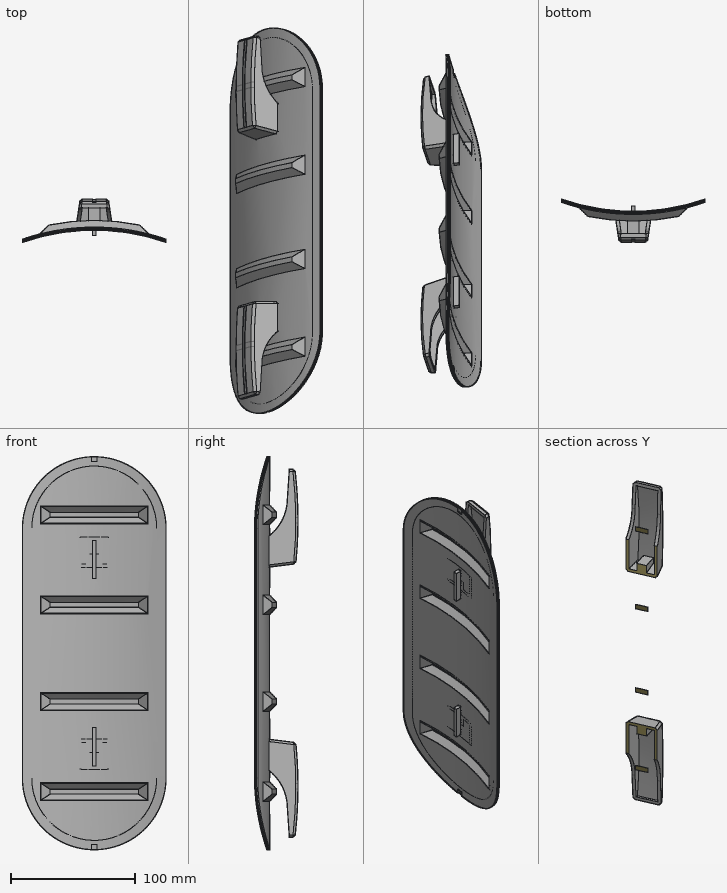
import cadquery as cq
import math

total_depth = 35.0

plate_length = 315.0
plate_width = 115.3
plate_thickness = 2.5
front_sheet_thickness = 0.8
seal_thickness = 0.8
seal_width = 7.5
plate_edge_y = -total_depth / 2
plate_crown_y = -7.5
notch_width = 4.7
notch_height = 4.0

inner_rib_z = 38.7
outer_rib_z = 111.0
rib_height = 5.5
rib_root = 0.5
pocket_length = 85.0
pocket_floor_length = 70.5
pocket_width = 13.2
pocket_floor_width = 3.8
bump_length = 87.5
bump_top_length = 72.5
bump_width = 15.8
bump_top_width = 4.0

fin_center_z = 75.0
fin_length = 30.5
fin_width = 2.8
fin_front_y = -12.0

tip_z = 147.5
tip_front_y = 10.5
tip_back_y = 15.0
back_apex_y = total_depth / 2
back_apex_z = 108.7
heel_y = 15.8
heel_z = 71.5
foot_z = 68.5
throat_y = 8.8
throat_z = 123.8
throat_radius = 37.8
back_half_width = 11.3
foot_half_width = 15.5
hook_wall = 2.8
hook_chamfer = 2.0
groove_width = 2.8
groove_depth = 0.3
block_width = 8.8
block_top_z = 79.5

plate_sag = plate_crown_y - plate_edge_y
front_radius = ((plate_width / 2) ** 2 + plate_sag**2) / (2 * plate_sag)
sheet_radius = front_radius + front_sheet_thickness
seal_radius = sheet_radius + seal_thickness
back_radius = front_radius + plate_thickness
axis_y = plate_crown_y - front_radius
back_crown_y = axis_y + back_radius
foot_end_y = back_crown_y - 2 * plate_thickness
block_length_y = back_apex_y - foot_end_y

reach = 63.0
edge_margin = 1.0

SIDES = (1, -1)
rib_positions_z = [side * z for side in SIDES for z in (inner_rib_z, outer_rib_z)]


def round_bar(radius):
    """Upright cylinder about the axis that the plate curves around."""
    return cq.Workplane("XY").center(0, axis_y).circle(radius).extrude(plate_length, both=True)


def curved_sheet(inner_radius, outer_radius, inset=0.0):
    """Curved sheet with round ends, its outline moved inwards by the inset."""
    outline = (
        cq.Workplane("XZ", origin=(0, reach / 2, 0))
        .slot2D(plate_length - 2 * inset, plate_width - 2 * inset, 90)
        .extrude(reach)
    )
    return round_bar(outer_radius).cut(round_bar(inner_radius)).intersect(outline)


def trapezoid_prism(near_y, near_half_width, far_y, far_half_width, low_z, height):
    """Upright prism whose half width runs evenly from near_y to far_y."""
    return (
        cq.Workplane("XY", origin=(0, 0, low_z))
        .polyline([
            (-near_half_width, near_y),
            (near_half_width, near_y),
            (far_half_width, far_y),
            (-far_half_width, far_y),
        ])
        .close()
        .extrude(height)
    )


def rib_bar(center_z, base_radius, width, top_width, length, top_length):
    """Bar that follows the plate's curve, four sides sloping in to its top, on a straight root."""
    top_radius = base_radius + rib_height
    ring = (
        cq.Workplane("XZ", origin=(0, axis_y, center_z))
        .polyline([
            (base_radius - rib_root, -width / 2),
            (base_radius, -width / 2),
            (top_radius, -top_width / 2),
            (top_radius, top_width / 2),
            (base_radius, width / 2),
            (base_radius - rib_root, width / 2),
        ])
        .close()
        .revolve(360, (0, 0, 0), (0, 1, 0))
    )
    base_y = axis_y + math.sqrt(base_radius**2 - (length / 2) ** 2)
    top_y = axis_y + math.sqrt(top_radius**2 - (top_length / 2) ** 2)
    end_slope = (length - top_length) / 2 / (top_y - base_y)
    near_y = base_y - rib_height
    far_y = axis_y + top_radius + rib_height
    ends = trapezoid_prism(
        near_y,
        length / 2 + end_slope * (base_y - near_y),
        far_y,
        length / 2 - end_slope * (far_y - base_y),
        center_z - width,
        2 * width,
    )
    return ring.intersect(ends)


def pocket(center_z):
    """Space in front of a rib."""
    return rib_bar(
        center_z, front_radius, pocket_width, pocket_floor_width, pocket_length, pocket_floor_length
    )


def pressed_wall(center_z):
    """Front sheet's own bulge, halfway between the pocket and the bump."""
    return rib_bar(
        center_z,
        sheet_radius,
        (pocket_width + bump_width) / 2,
        (pocket_floor_width + bump_top_width) / 2,
        (pocket_length + bump_length) / 2,
        (pocket_floor_length + bump_top_length) / 2,
    )


def bump(center_z):
    """Outside of a rib behind the plate."""
    return rib_bar(center_z, back_radius, bump_width, bump_top_width, bump_length, bump_top_length)


def make_front_sheet():
    sheet = curved_sheet(front_radius, sheet_radius)
    for center_z in rib_positions_z:
        sheet = sheet.union(pressed_wall(center_z)).cut(pocket(center_z))
    for side in SIDES:
        notch = cq.Workplane("XY").box(notch_width, reach, 2 * notch_height)
        sheet = sheet.cut(notch.translate((0, 0, side * plate_length / 2)))
    return sheet


def make_seal():
    """Flat ring along the rim of the plate."""
    opening = curved_sheet(sheet_radius, seal_radius, seal_width)
    return curved_sheet(sheet_radius, seal_radius).cut(opening)


def make_back_sheet():
    sheet = curved_sheet(sheet_radius, back_radius)
    for center_z in rib_positions_z:
        sheet = sheet.union(bump(center_z))
        sheet = sheet.cut(pressed_wall(center_z)).cut(pocket(center_z))
    return sheet.cut(make_seal())


def hook_prism(side_inset):
    """Prism that gives a hook its drafted sides, moved inwards by the inset."""
    return trapezoid_prism(
        foot_end_y, foot_half_width - side_inset, back_apex_y, back_half_width - side_inset, 0, plate_length
    )


def hook_blank():
    """Solid upper hook, before it is hollowed."""
    throat_center_y = throat_y - throat_radius

    def throat_point(y):
        rise = math.sqrt(throat_radius**2 - (y - throat_center_y) ** 2)
        return (y, throat_z - rise)

    side_profile = (
        cq.Workplane("YZ")
        .moveTo(tip_front_y, tip_z)
        .lineTo(throat_y, throat_z)
        .threePointArc(throat_point((throat_y + back_crown_y) / 2), throat_point(foot_end_y))
        .lineTo(foot_end_y, foot_z)
        .lineTo(heel_y, heel_z)
        .threePointArc((back_apex_y, back_apex_z), (tip_back_y, tip_z))
        .close()
        .extrude(reach, both=True)
    )
    blank = side_profile.intersect(hook_prism(0))
    back_edges = cq.selectors.BoxSelector(
        (-reach, tip_front_y + edge_margin, 0), (reach, reach, plate_length)
    )
    heel_edges = cq.selectors.BoxSelector(
        (-reach, foot_end_y + edge_margin, 0), (reach, heel_y, heel_z)
    )
    blank = blank.edges(back_edges + heel_edges).chamfer(hook_chamfer)
    return blank.cut(round_bar(sheet_radius))


def hook_cavity():
    """Hollow of the upper hook, with a flat-topped block left standing on its floor."""
    side_profile = (
        cq.Workplane("YZ")
        .moveTo(foot_end_y, tip_z - hook_wall)
        .lineTo(tip_back_y - hook_wall, tip_z - hook_wall)
        .threePointArc(
            (back_apex_y - hook_wall, back_apex_z), (heel_y - hook_wall, heel_z + hook_wall)
        )
        .lineTo(foot_end_y, foot_z + hook_wall)
        .close()
        .extrude(reach, both=True)
    )
    block = (
        cq.Workplane("XY", origin=(0, foot_end_y + block_length_y / 2, foot_z))
        .rect(block_width, block_length_y)
        .extrude(block_top_z - foot_z)
    )
    return side_profile.intersect(hook_prism(hook_wall)).cut(block)


def back_groove():
    """Shallow upright groove in the middle of the hook's back."""
    return (
        cq.Workplane("YZ")
        .moveTo(tip_back_y - groove_depth, tip_z - hook_chamfer)
        .threePointArc(
            (back_apex_y - groove_depth, back_apex_z), (heel_y - groove_depth, heel_z + hook_chamfer)
        )
        .lineTo(reach, heel_z + hook_chamfer)
        .lineTo(reach, tip_z - hook_chamfer)
        .close()
        .extrude(groove_width / 2, both=True)
    )


def on_side(body, side):
    """Upper body as it is, or its mirror image for the lower end of the plate."""
    return body if side > 0 else body.mirror("XY")


def make_hook(side):
    return on_side(hook_blank().cut(hook_cavity()).cut(back_groove()), side)


def make_fin(side):
    """Upright fin that stands through the front sheet, against the back sheet."""
    fin = (
        cq.Workplane("XY", origin=(0, fin_front_y, side * fin_center_z))
        .box(fin_width, reach, fin_length, centered=(True, False, True))
    )
    return fin.intersect(round_bar(sheet_radius))


front_sheet = make_front_sheet()
seal = make_seal()
back_sheet = make_back_sheet()
hooks = [make_hook(side) for side in SIDES]
fins = [make_fin(side) for side in SIDES]

for fin in fins:
    front_sheet = front_sheet.cut(fin)
for side in SIDES:
    foot_hole = on_side(hook_blank(), side)
    back_sheet = back_sheet.cut(foot_hole)

result = cq.Compound.makeCompound([
    front_sheet.val(),
    seal.val(),
    back_sheet.val(),
    *[hook.val() for hook in hooks],
    *[fin.val() for fin in fins],
])